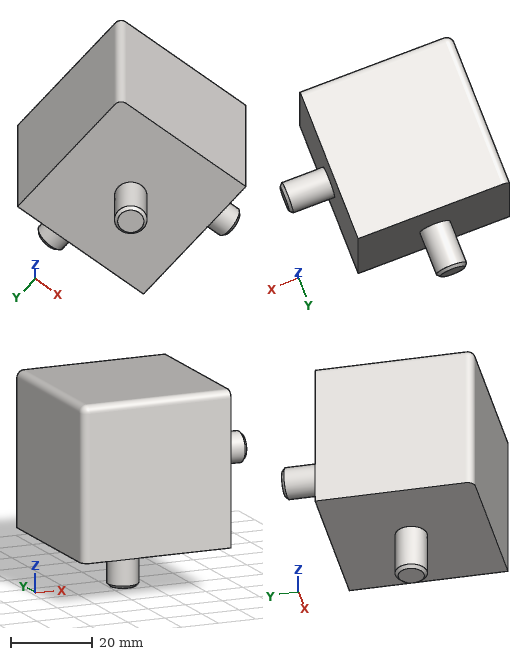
import cadquery as cq

cube_side = 40.0
edge_radius = 2.0

pin_diameter = 8.0
pin_chamfer = 0.8
pin_reach = 12.0
pin_set_shift = -0.3

half_side = cube_side / 2
pin_directions = [(1, 0, 0), (0, 1, 0), (0, 0, -1)]


def make_cube():
    """Cube with the three edges that meet at its -X, -Y, +Z corner rounded."""
    block = cq.Workplane("XY").box(cube_side, cube_side, cube_side)
    rounded_edges = "(<X and >Z) or (<X and <Y) or (<Y and >Z)"
    return block.edges(rounded_edges).fillet(edge_radius)


def make_pin(direction):
    """Pin with a chamfered tip, standing on the cube face that looks along direction."""
    dx, dy, dz = direction
    foot_x = half_side if dx else pin_set_shift
    foot = (foot_x, dy * half_side, dz * half_side)
    length = pin_reach + dx * pin_set_shift
    foot_plane = cq.Plane(origin=foot, normal=direction)
    pin = cq.Workplane(foot_plane).circle(pin_diameter / 2).extrude(length)
    tip = cq.selectors.DirectionMinMaxSelector(cq.Vector(*direction))
    return pin.faces(tip).chamfer(pin_chamfer)


cube = make_cube()

pins = []
for direction in pin_directions:
    pins.append(make_pin(direction).val())

result = cq.Compound.makeCompound([cube.val(), *pins])